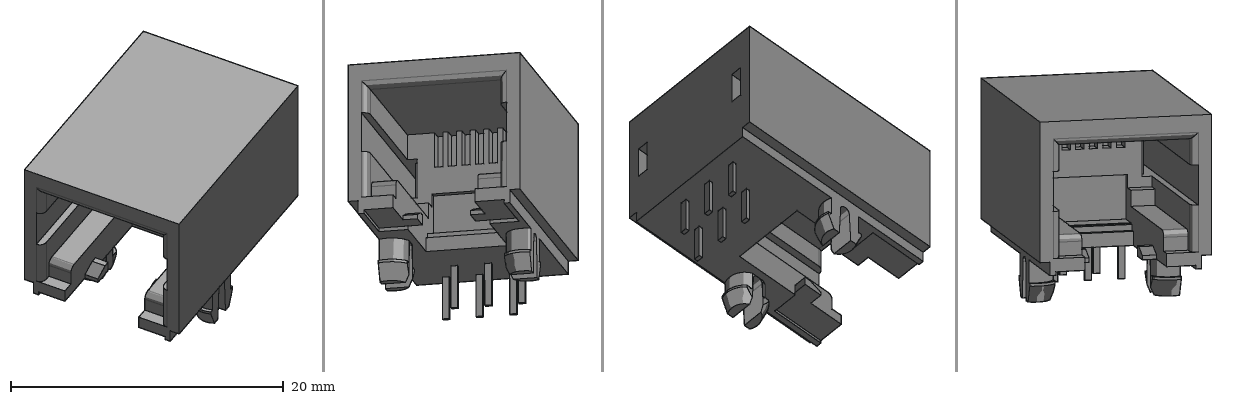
import cadquery as cq


width = 12.96
depth = 18.1
height = 11.5
base_width = 11.46
base_height = 1.0

cavity_width = 9.88
cavity_bottom = 1.26
cavity_top = 9.66
cavity_depth = 12.0
mouth_radius = 0.54

floor_top = 2.78
floor_setback = 0.92
floor_radius = 0.48
rear_step_top = 3.98
rear_step_depth = 1.0

latch_width = 6.18
latch_top = 4.97
latch_depth = cavity_depth + 0.5
latch_stairs = [(10.2, 1.06), (10.6, 1.5), (11.0, 1.56)]

relief_width = 10.58
relief_height = 0.27
relief_depth = 4.63
tab_width = 1.08
tab_length = 1.57
tab_land = 0.47
tab_nose_top = 0.6
tab_top = latch_stairs[0][1]

groove_bottom = 4.77
groove_top = 7.75
groove_outer = cavity_width / 2 + mouth_radius
groove_through_inner = 4.56
groove_recess_inner = 4.2
groove_recess_depth = 1.0

contact_count = 6
contact_pitch = 1.03
contact_slot_width = 0.62
contact_slot_bottom = 7.02
contact_slot_depth = 1.0

pin_width = 0.51
pin_thickness = 0.31
pin_pitch = 1.27
pin_rows = (16.77, 14.25)
pin_length_below = 3.2
pin_length_inside = 5.0

peg_spacing = 10.16
peg_y = 7.84
peg_length = pin_length_below
peg_radius = 1.51
peg_tip_radius = 1.28
barb_radius = 1.78
barb_start = 1.71
barb_land = 0.2
peg_inner_flat = 3.67
peg_slot_tip_half = 0.57
peg_slot_radius = 0.43


def block(x0, x1, y0, y1, z0, z1):
    """Box between the given limits."""
    return cq.Workplane("XY").box(x1 - x0, y1 - y0, z1 - z0, centered=False).translate((x0, y0, z0))


def centred_block(block_width, y0, y1, z0, z1):
    """Box that is symmetric about X = 0."""
    return block(-block_width / 2, block_width / 2, y0, y1, z0, z1)


def row_x(index, count, pitch):
    """X of one item in a row centred on X = 0."""
    return (index - (count - 1) / 2) * pitch


def both_sides(shape):
    """The shape together with its mirror image across X = 0."""
    return shape.union(shape.mirror("YZ"))


def make_shell():
    shell = centred_block(width, 0, depth, base_height, height)
    shell = shell.cut(centred_block(cavity_width, 0, cavity_depth, cavity_bottom, cavity_top))
    reach = mouth_radius / 2
    mouth_edges = cq.selectors.BoxSelector(
        (-cavity_width / 2 - reach, -reach, cavity_bottom + reach),
        (cavity_width / 2 + reach, reach, cavity_top + reach),
    )
    shell = shell.edges(mouth_edges).fillet(mouth_radius)
    return shell.union(centred_block(base_width, 0, depth, 0, base_height))


def make_floor():
    floor = centred_block(cavity_width, floor_setback, cavity_depth, cavity_bottom, floor_top)
    floor = floor.edges("|X and <Y and >Z").fillet(floor_radius)
    rear_start = cavity_depth - rear_step_depth
    return floor.union(centred_block(cavity_width, rear_start, cavity_depth, floor_top, rear_step_top))


def make_latch_slot():
    slot = centred_block(latch_width, 0, latch_depth, 0, latch_top)
    for start, top in latch_stairs:
        slot = slot.cut(centred_block(latch_width, start, latch_depth, 0, top))
    return slot


def make_latch_tabs():
    """Ramped tabs that stand on the side walls of the latch slot."""
    rear = relief_depth
    front = rear - tab_length
    profile = [
        (front, relief_height),
        (front, tab_nose_top),
        (rear - tab_land, tab_top),
        (rear, tab_top),
        (rear, relief_height),
    ]
    tab = cq.Workplane("YZ").polyline(profile).close().extrude(tab_width)
    return both_sides(tab.translate((latch_width / 2 - tab_width, 0, 0)))


def make_side_grooves():
    groove_length = cavity_depth + groove_recess_depth
    recess = block(groove_recess_inner, groove_outer, 0, groove_length, groove_bottom, groove_top)
    through = block(groove_through_inner, groove_outer, 0, depth, groove_bottom, groove_top)
    return both_sides(recess.union(through))


def make_contact_slots():
    slots = cq.Workplane("XY")
    for index in range(contact_count):
        slot = centred_block(
            contact_slot_width,
            cavity_depth,
            cavity_depth + contact_slot_depth,
            contact_slot_bottom,
            cavity_top,
        )
        slots = slots.add(slot.translate((row_x(index, contact_count, contact_pitch), 0, 0)))
    return slots.combine()


def make_pegs():
    """Barbed round pegs, split by a tapered slot and flattened on both sides."""
    barb_end = barb_start + barb_land
    half_profile = [
        (0, 0),
        (peg_radius, 0),
        (peg_radius, -barb_start),
        (barb_radius, -barb_start),
        (barb_radius, -barb_end),
        (peg_tip_radius, -peg_length),
        (0, -peg_length),
    ]
    peg = cq.Workplane("XZ").polyline(half_profile).close().revolve(360, (0, 0, 0), (0, 1, 0))
    split = (
        cq.Workplane("YZ")
        .moveTo(-peg_slot_tip_half, -peg_length)
        .lineTo(-peg_slot_radius, -peg_slot_radius)
        .threePointArc((0, 0), (peg_slot_radius, -peg_slot_radius))
        .lineTo(peg_slot_tip_half, -peg_length)
        .close()
        .extrude(barb_radius, both=True)
    )
    peg = peg.cut(split).translate((peg_spacing / 2, peg_y, 0))
    flats = block(
        peg_inner_flat, base_width / 2, peg_y - barb_radius, peg_y + barb_radius, -peg_length, 0
    )
    return both_sides(peg.intersect(flats))


def make_pin(index):
    pin = centred_block(
        pin_width, -pin_thickness / 2, pin_thickness / 2, -pin_length_below, pin_length_inside
    )
    return pin.translate((row_x(index, contact_count, pin_pitch), pin_rows[index % 2], 0))


def make_housing(pins):
    housing = make_shell().union(make_floor())
    housing = housing.cut(make_latch_slot())
    housing = housing.cut(centred_block(relief_width, 0, relief_depth, 0, relief_height))
    housing = housing.union(make_latch_tabs())
    housing = housing.cut(make_side_grooves())
    housing = housing.cut(make_contact_slots())
    housing = housing.union(make_pegs())
    for pin in pins:
        housing = housing.cut(pin)
    return housing


pins = [make_pin(index) for index in range(contact_count)]
housing = make_housing(pins)

result = cq.Compound.makeCompound([housing.val(), *[pin.val() for pin in pins]])